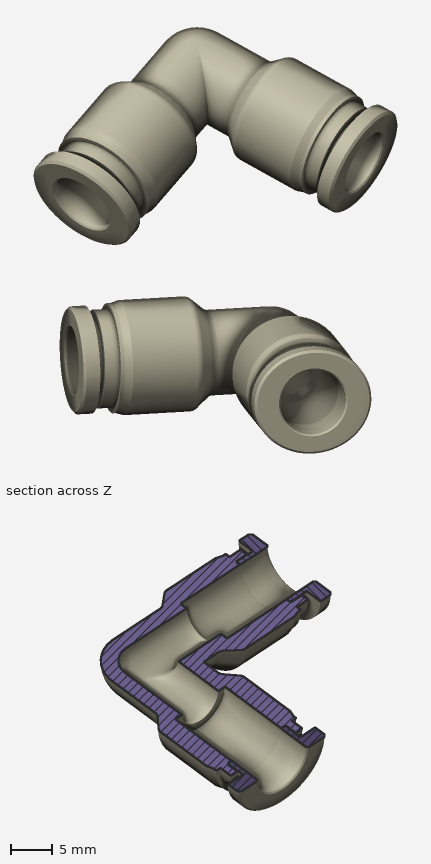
import cadquery as cq
import math


OVERALL = 31.95
RING_WIDTH = 14.5
RING_HEIGHT = 13.05
RING_END = OVERALL - RING_WIDTH / 2

ELBOW_DIA = 10.4
SOCKET_DIA = 14.0
LIP_DIA = 13.4
SLEEVE_DIA = 12.0

FLARE_START = 8.0
FLARE_END = 10.1
FLARE_FILLET = 1.0
TAPER_START = 18.55
LIP_START = 19.52
LIP_END = 20.0
SLEEVE_END = 21.82

FLOW_DIA = 6.0
TUBE_DIA = 8.2
TUBE_STOP = FLARE_END

COLLAR_DIA = 9.6
RING_BORE = 8.15
FLANGE_START = 22.7
FLANGE_CHAMFER = 0.3
ENTRY_CHAMFER = 0.2
RING_DEPTH = 4.65
RING_INNER_END = RING_END - RING_DEPTH

ARM_ANGLES = (0, -90)


def turn(shape, angle):
    """Turn a shape about the Z axis."""
    return shape.rotate((0, 0, 0), (0, 0, 1), angle)


def rod(start, end, diameter):
    """Round bar along +X between two stations."""
    return cq.Workplane("YZ").workplane(offset=start).circle(diameter / 2).extrude(end - start)


def arm_outside():
    """Solid outer shape of one arm: elbow tube, filleted flare, socket, lip and sleeve."""
    elbow_r = ELBOW_DIA / 2
    socket_r = SOCKET_DIA / 2
    flare_angle = math.atan2(socket_r - elbow_r, FLARE_END - FLARE_START)
    half_angle = flare_angle / 2
    tangent = FLARE_FILLET * math.tan(half_angle)
    along = tangent * math.cos(flare_angle)
    out = tangent * math.sin(flare_angle)
    to_arc = FLARE_FILLET / math.cos(half_angle) - FLARE_FILLET
    arc_x = to_arc * math.sin(half_angle)
    arc_r = to_arc * math.cos(half_angle)
    profile = (
        cq.Workplane("XY")
        .lineTo(0, elbow_r)
        .lineTo(FLARE_START - tangent, elbow_r)
        .threePointArc(
            (FLARE_START - arc_x, elbow_r + arc_r),
            (FLARE_START + along, elbow_r + out),
        )
        .lineTo(FLARE_END - along, socket_r - out)
        .threePointArc(
            (FLARE_END + arc_x, socket_r - arc_r),
            (FLARE_END + tangent, socket_r),
        )
        .lineTo(TAPER_START, socket_r)
        .lineTo(LIP_START, LIP_DIA / 2)
        .lineTo(LIP_END, LIP_DIA / 2)
        .lineTo(LIP_END, SLEEVE_DIA / 2)
        .lineTo(SLEEVE_END, SLEEVE_DIA / 2)
        .lineTo(SLEEVE_END, 0)
        .close()
    )
    return profile.revolve(360, (0, 0, 0), (1, 0, 0))


def arm_bores():
    """Stepped hole of one arm: flow passage, tube seat and recess for the ring collar."""
    flow = rod(0, SLEEVE_END, FLOW_DIA)
    tube_seat = rod(TUBE_STOP, SLEEVE_END, TUBE_DIA)
    collar_recess = rod(RING_INNER_END, SLEEVE_END, COLLAR_DIA)
    return flow.union(tube_seat).union(collar_recess)


def make_housing():
    """Both arms joined by a ball at the corner, with a ball-cornered passage inside."""
    outside = cq.Workplane("XY").sphere(ELBOW_DIA / 2)
    passage = cq.Workplane("XY").sphere(FLOW_DIA / 2)
    for angle in ARM_ANGLES:
        outside = outside.union(turn(arm_outside(), angle))
        passage = passage.union(turn(arm_bores(), angle))
    return outside.cut(passage)


def make_release_ring():
    """Oval flange with a round collar, bored through for the tube."""
    flange = (
        cq.Workplane("YZ")
        .workplane(offset=FLANGE_START)
        .ellipse(RING_WIDTH / 2, RING_HEIGHT / 2)
        .extrude(RING_END - FLANGE_START)
        .faces(">X")
        .chamfer(FLANGE_CHAMFER)
    )
    collar = rod(RING_INNER_END, FLANGE_START, COLLAR_DIA)
    bore = rod(RING_INNER_END, RING_END, RING_BORE)
    ring = flange.union(collar).cut(bore)
    return ring.faces(">X").edges("%CIRCLE").chamfer(ENTRY_CHAMFER)


housing = make_housing()
release_rings = [turn(make_release_ring(), angle) for angle in ARM_ANGLES]

result = cq.Compound.makeCompound([housing.val(), *[ring.val() for ring in release_rings]])